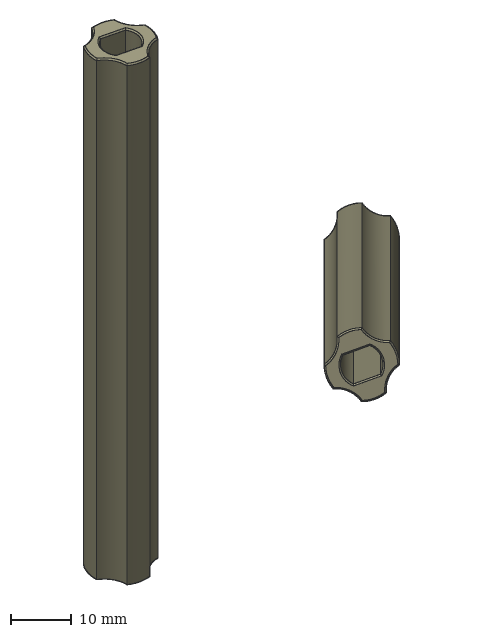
import cadquery as cq
import math

LENGTH = 109.4
OUTER_DIAMETER = 12.5
LOBE_COUNT = 4
LOBE_TIP_WIDTH = 4.4
VALLEY_DIAMETER = 10.0
BORE_DIAMETER = 7.0
BORE_FLAT_WIDTH = 5.1
END_CHAMFER = 0.27


def polar_point(radius, angle):
    """Point in the XY plane at an angle in radians from +X."""
    return (radius * math.cos(angle), radius * math.sin(angle))


def lobed_shaft():
    """Convex lobe tips on the outer circle, joined by concave valley arcs."""
    outer_radius = OUTER_DIAMETER / 2
    valley_radius = VALLEY_DIAMETER / 2
    pitch = 2 * math.pi / LOBE_COUNT
    tip_half_angle = math.asin(LOBE_TIP_WIDTH / OUTER_DIAMETER)

    outline = cq.Workplane("XY").moveTo(*polar_point(outer_radius, -tip_half_angle))
    for lobe in range(LOBE_COUNT):
        middle = lobe * pitch
        outline = outline.threePointArc(
            polar_point(outer_radius, middle),
            polar_point(outer_radius, middle + tip_half_angle),
        )
        outline = outline.threePointArc(
            polar_point(valley_radius, middle + pitch / 2),
            polar_point(outer_radius, middle + pitch - tip_half_angle),
        )
    return outline.close().extrude(LENGTH)


def double_flat_bore():
    """Round bore narrowed by two flats that face each other along X."""
    cylinder = cq.Workplane("XY").circle(BORE_DIAMETER / 2).extrude(LENGTH)
    flats = cq.Workplane("XY").rect(BORE_FLAT_WIDTH, BORE_DIAMETER).extrude(LENGTH)
    return cylinder.intersect(flats)


shaft = lobed_shaft().cut(double_flat_bore())
result = shaft.faces("|Z").edges().chamfer(END_CHAMFER)